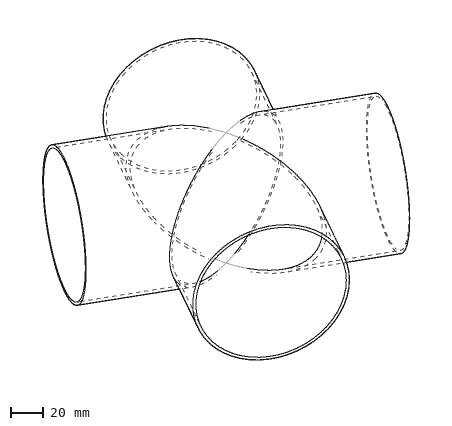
import cadquery as cq

overall_length = 209.5
outer_diameter = 101.6
inner_diameter = 97.5


def crossed_cylinders(diameter):
    """Solid cylinders of one diameter along X and Y, joined at the origin."""
    half_length = overall_length / 2
    along_x = cq.Workplane("YZ").circle(diameter / 2).extrude(half_length, both=True)
    along_y = cq.Workplane("XZ").circle(diameter / 2).extrude(half_length, both=True)
    return along_x.union(along_y)


result = crossed_cylinders(outer_diameter).cut(crossed_cylinders(inner_diameter))